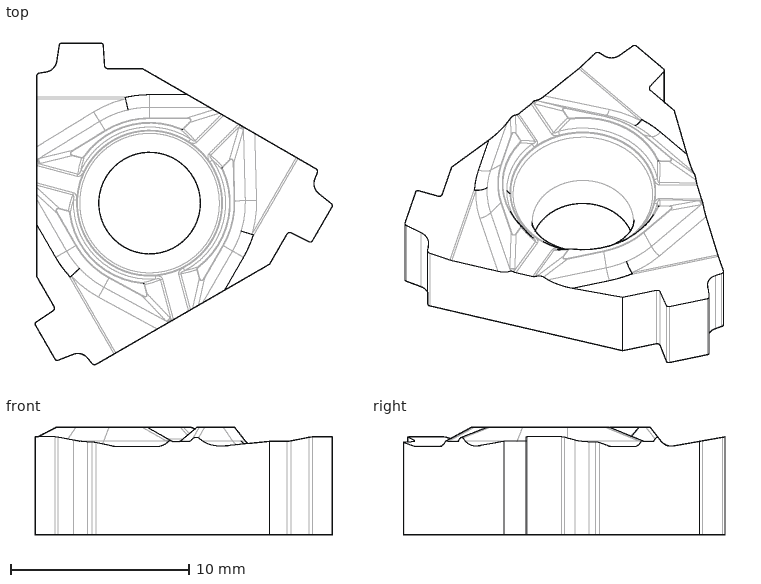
import cadquery as cq
import math

HEIGHT = 6.05
INRADIUS = 6.35
CORNER_COUNT = 3
CORNER_STEP = 360 / CORNER_COUNT

HOLE_DIAMETER = 5.7
SEAT_RADIUS = 3.92
SEAT_DEPTH = 2.71
LEDGE_HEIGHT = 5.24
LEDGE_EDGE_RADIUS = 4.07
LEDGE_EDGE_FILLET = 0.05
LIP_DROP = 0.25

RECESS_TOP_RADIUS = 4.5
RECESS_FOOT_RADIUS = 4.23

TOOTH_TIP_Y = 8.98
TOOTH_TIP_LEFT_X = -5.06
TOOTH_TIP_RIGHT_X = -2.6
TOOTH_FOOT_X = -2.51
SHOULDER_Y = 7.55
THROAT = (-5.3, 7.45)
FLANK_Y = 7.28
TOOTH_TIP_FILLET = 0.15
TOOTH_FOOT_FILLET = 0.18
THROAT_FILLET = 0.7
FLANK_FILLET = 0.18

TOOTH_HEIGHT = 5.51
FLOOR_HEIGHT = 4.97
RAKE_ANGLE = 10
RAKE_BEND_RADIUS = 0.63

BOSS_TOP_RADIUS = 4.77
BOSS_ROUND_ANGLE = 31.5
WALL_ANGLE = 38
WALL_FOOT_HEIGHT = 5.28
RAKE_FOOT_FILLET = 0.74
RAKE_ROUND_ANGLE = 13
TOP_EDGE_FILLET = 0.045

CHANNEL_ANGLE = 45
CHANNEL_OFFSET = 0.07
CHANNEL_FLOOR_WIDTH = 1.08
CHANNEL_TOP_WIDTH = 3.07
CHANNEL_EDGE_FILLET = 0.22
CHANNEL_MOUTH_FILLET = 0.15
PASSAGE_FLOOR_FILLET = 0.2

TOLERANCE = 0.009
REACH = 14.45


def around(shape):
    """Copies of a shape at the three corners."""
    return [shape.rotate((0, 0, 0), (0, 0, 1), i * CORNER_STEP) for i in range(CORNER_COUNT)]


def joined(shapes):
    total = shapes[0]
    for shape in shapes[1:]:
        total = total.union(shape)
    return total


def close_to(value, target):
    return abs(value - target) < TOLERANCE


def end_heights(edge):
    """Heights of the lower and the upper end of an edge."""
    return sorted([edge.startPoint().z, edge.endPoint().z])


def spans(edge, low, high):
    """Whether an edge runs from one height to the other."""
    bottom, top = end_heights(edge)
    return close_to(bottom, low) and close_to(top, high)


def axis_distance(edge):
    """Distance from the hole axis to the middle of an edge."""
    center = edge.Center()
    return math.hypot(center.x, center.y)


def outline():
    """Triangle with a threading tooth at each corner, full height."""
    side_normal = math.radians(CORNER_STEP / 2)
    normal_x = math.cos(side_normal)
    normal_y = math.sin(side_normal)
    side_middle = (INRADIUS * normal_x, INRADIUS * normal_y)
    shoulder_end = ((INRADIUS - SHOULDER_Y * normal_y) / normal_x, SHOULDER_Y)
    rounded_points = [
        ((-INRADIUS, FLANK_Y), FLANK_FILLET),
        (THROAT, THROAT_FILLET),
        ((TOOTH_TIP_LEFT_X, TOOTH_TIP_Y), TOOTH_TIP_FILLET),
        ((TOOTH_TIP_RIGHT_X, TOOTH_TIP_Y), TOOTH_TIP_FILLET),
        ((TOOTH_FOOT_X, SHOULDER_Y), TOOTH_FOOT_FILLET),
    ]
    tooth_points = [point for point, _ in rounded_points]
    points = [(0, 0), (-INRADIUS, 0)] + tooth_points + [shoulder_end, side_middle]
    corner = cq.Workplane().polyline(points).close().extrude(HEIGHT)
    for (x, y), radius in rounded_points:
        nearest = cq.selectors.NearestToPointSelector((x, y, HEIGHT / 2))
        corner = corner.edges("|Z").edges(nearest).fillet(radius)
    return joined(around(corner))


def rake_wedge():
    """Rake face that falls from the tooth towards the boss and bends into the floor."""
    rake = math.radians(RAKE_ANGLE)
    bend_y = TOOTH_TIP_Y - (TOOTH_HEIGHT - FLOOR_HEIGHT) / math.tan(rake)
    bend_run = RAKE_BEND_RADIUS * math.tan(rake / 2)
    bend_start = (bend_y - bend_run, FLOOR_HEIGHT)
    bend_end = (bend_y + bend_run * math.cos(rake), FLOOR_HEIGHT + bend_run * math.sin(rake))
    outer_height = FLOOR_HEIGHT + (REACH - bend_y) * math.tan(rake)
    return (
        cq.Workplane("YZ")
        .moveTo(bend_start[0], 0)
        .lineTo(*bend_start)
        .radiusArc(bend_end, -RAKE_BEND_RADIUS)
        .lineTo(REACH, outer_height)
        .lineTo(REACH, 0)
        .close()
        .extrude(REACH, both=True)
    )


def boss_section(fillet_radius, floor_angle):
    """Half section of the boss; the foot fillet ends tangent to a floor rising at floor_angle."""
    wall_slope = math.radians(90 - WALL_ANGLE)
    floor_slope = math.radians(floor_angle)
    foot_y = BOSS_TOP_RADIUS + (HEIGHT - WALL_FOOT_HEIGHT) / math.tan(wall_slope)
    end_y = foot_y + fillet_radius * (math.sin(wall_slope) + math.sin(floor_slope))
    end_z = WALL_FOOT_HEIGHT - fillet_radius * (math.cos(floor_slope) - math.cos(wall_slope))
    return (
        cq.Workplane("YZ")
        .lineTo(0, HEIGHT)
        .lineTo(BOSS_TOP_RADIUS, HEIGHT)
        .lineTo(foot_y, WALL_FOOT_HEIGHT)
        .radiusArc((end_y, end_z), -fillet_radius)
        .lineTo(end_y, 0)
        .close()
    )


def boss():
    """Each corner has a wall facing its rake face, a round about the hole and a wall on the floor."""
    floor_fillet = (WALL_FOOT_HEIGHT - FLOOR_HEIGHT) / (1 - math.sin(math.radians(WALL_ANGLE)))
    wall_turn = math.radians(CORNER_STEP - BOSS_ROUND_ANGLE)
    wall_length = BOSS_TOP_RADIUS * math.tan(wall_turn / 2)
    rake_wall = boss_section(RAKE_FOOT_FILLET, RAKE_ANGLE).extrude(wall_length)
    corner_round = boss_section(floor_fillet, 0).revolve(BOSS_ROUND_ANGLE, (0, 0, 0), (0, 1, 0))
    rake_round = boss_section(RAKE_FOOT_FILLET, RAKE_ANGLE)
    rake_round = rake_round.revolve(RAKE_ROUND_ANGLE, (0, 0, 0), (0, 1, 0))
    floor_wall = boss_section(floor_fillet, 0).extrude(-wall_length)
    floor_wall = floor_wall.rotate((0, 0, 0), (0, 0, 1), BOSS_ROUND_ANGLE)
    parts = [rake_wall, rake_round, corner_round, floor_wall]
    return joined([copy for part in parts for copy in around(part)])


def recess():
    """Cutter for the round recess in the boss, down to the ledge."""
    return (
        cq.Workplane("XZ")
        .moveTo(0, LEDGE_HEIGHT)
        .lineTo(RECESS_FOOT_RADIUS, LEDGE_HEIGHT)
        .lineTo(RECESS_TOP_RADIUS, HEIGHT)
        .lineTo(0, HEIGHT)
        .close()
        .revolve()
    )


def channel():
    """Cutter for a flat-bottomed channel with sloping sides, running out from the hole."""
    foot = CHANNEL_FLOOR_WIDTH / 2
    top = CHANNEL_TOP_WIDTH / 2
    return (
        cq.Workplane("YZ")
        .center(CHANNEL_OFFSET, 0)
        .polyline([(-foot, LEDGE_HEIGHT), (foot, LEDGE_HEIGHT), (top, HEIGHT), (-top, HEIGHT)])
        .close()
        .extrude(REACH)
        .rotate((0, 0, 0), (0, 0, 1), CHANNEL_ANGLE)
    )


def passages():
    """Cutter for the recess and the three channels, with their meeting edges rounded."""
    def is_mouth(edge):
        return spans(edge, LEDGE_HEIGHT, HEIGHT) and axis_distance(edge) < BOSS_TOP_RADIUS

    def is_inside_end(edge):
        return axis_distance(edge) < REACH - CHANNEL_FLOOR_WIDTH

    cutter = joined([recess()] + around(channel()))
    cutter = cutter.edges().filter(is_mouth).fillet(CHANNEL_MOUTH_FILLET)
    return cutter.faces("<Z").edges().filter(is_inside_end).fillet(PASSAGE_FLOOR_FILLET)


def round_channel_edges(body):
    """Round the sloping edges where channel sides meet boss walls, out beyond the boss top."""
    wall_foot_radius = BOSS_TOP_RADIUS + (HEIGHT - WALL_FOOT_HEIGHT) * math.tan(math.radians(WALL_ANGLE))

    def is_channel_edge(edge):
        bottom, top = end_heights(edge)
        reaches_top = close_to(top, HEIGHT) and bottom < HEIGHT - TOLERANCE
        return reaches_top and axis_distance(edge) > wall_foot_radius

    return body.edges().filter(is_channel_edge).fillet(CHANNEL_EDGE_FILLET)


def round_boss_top(body):
    """Round every edge of the flat boss tops."""
    def is_top_edge(edge):
        return spans(edge, HEIGHT, HEIGHT) and axis_distance(edge) < REACH / 2

    return body.edges().filter(is_top_edge).fillet(TOP_EDGE_FILLET)


def hole():
    """Cutter for the screw hole, its curved seat and the lip up to the ledge."""
    hole_radius = HOLE_DIAMETER / 2
    flare = SEAT_RADIUS - hole_radius
    seat_arc_radius = (SEAT_DEPTH**2 + flare**2) / (2 * flare)
    mouth_height = LEDGE_HEIGHT - LIP_DROP
    return (
        cq.Workplane("XZ")
        .lineTo(hole_radius, 0)
        .lineTo(hole_radius, mouth_height - SEAT_DEPTH)
        .radiusArc((SEAT_RADIUS, mouth_height), seat_arc_radius)
        .lineTo(LEDGE_EDGE_RADIUS, LEDGE_HEIGHT)
        .lineTo(0, LEDGE_HEIGHT)
        .close()
        .revolve()
    )


def round_ledge_edge(body):
    """Round the edge where the lip of the hole meets the ledge."""
    def is_ledge_edge(edge):
        return edge.geomType() == "CIRCLE" and close_to(edge.radius(), LEDGE_EDGE_RADIUS)

    return body.edges().filter(is_ledge_edge).fillet(LEDGE_EDGE_FILLET)


floor_disc = cq.Workplane().circle(REACH).extrude(FLOOR_HEIGHT)
body = joined([floor_disc] + around(rake_wedge()) + [boss()])
body = round_channel_edges(body.cut(passages()))
body = round_boss_top(body)
body = round_ledge_edge(body.cut(hole()))
result = body.intersect(outline())